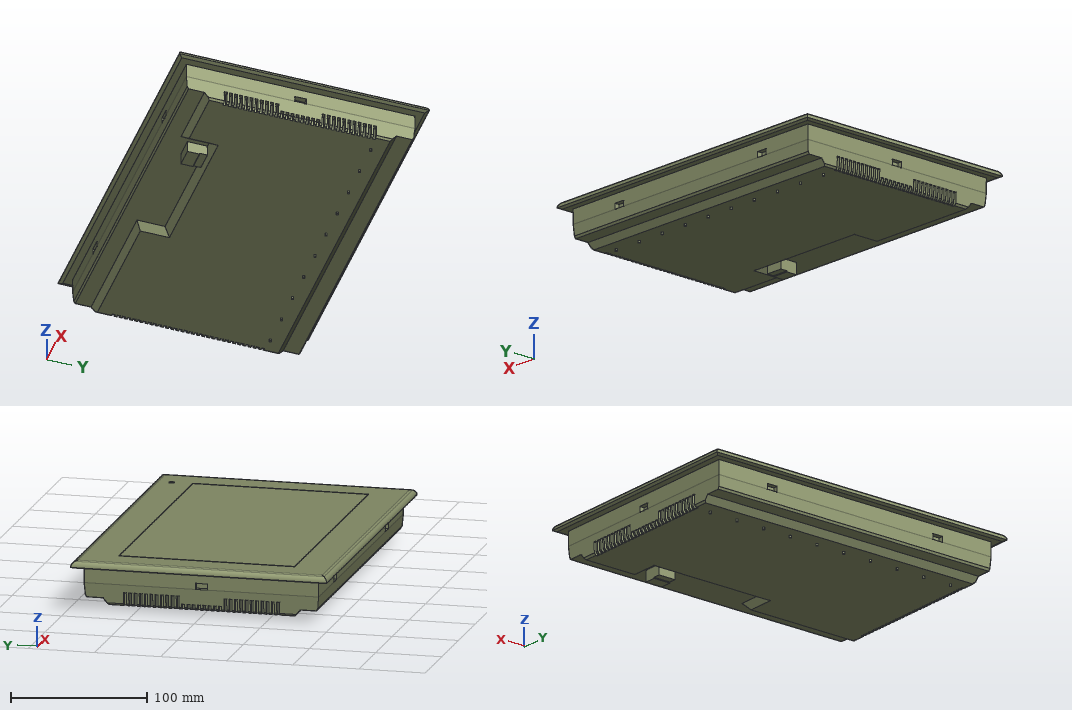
import cadquery as cq


BEZEL_LENGTH = 272.0
BEZEL_WIDTH = 194.0
RIM_DEPTH = 4.5
BEZEL_DEPTH = 5.7
UNDERSIDE_INSET = 2.7
ROUND_INSET = 2.7
ROUND_TOP_DEPTH = 0.5
FACE_INSET = 4.5
ROUND_BULGE = 0.4

WINDOW_LENGTH = 222.0
WINDOW_WIDTH = 132.7
LAMP_X = 110.2
LAMP_Y = 82.1
LAMP_DIAMETER = 3.8
MARK_DEPTH = 0.3

HOUSING_HALF_LENGTH = 127.5
HOUSING_HALF_WIDTH = 88.7
SEAM_DEPTH = 17.7
DRAFT_INSET = 0.8
FLOOR_DEPTH = 33.7
END_CHAMFER_DEPTH = 32.0
END_CHAMFER_INSET = 1.4
SIDE_CHAMFER_DEPTH = 26.7
SIDE_CHAMFER_INSET = 1.0
SHOULDER_DEPTH = 28.5
SHOULDER_HALF_WIDTH = 74.5
FLOOR_HALF_WIDTH = 70.2

NOTCH_LENGTH = 9.0
NOTCH_HEIGHT = 4.5
NOTCH_DEPTH = 4.0
NOTCH_SPACING = 155.0

VENT_COUNT = 30
TALL_VENTS_PER_GROUP = 11
VENT_ROW_SPAN = 116.0
VENT_PITCH = VENT_ROW_SPAN / (VENT_COUNT - 1)
VENT_WIDTH = 2.2
VENT_DEPTH = 3.0
TALL_VENT_TOP = 23.7
SHORT_VENT_TOP = 29.6

RECESS_LEFT = -24.0
RECESS_RIGHT = 74.8
RECESS_BACK_Y = -52.8
RECESS_FLARE = FLOOR_DEPTH - SHOULDER_DEPTH
CONNECTOR_LEFT = 56.3
CONNECTOR_RIGHT = 71.0
CONNECTOR_FRONT_Y = -68.3
CONNECTOR_STEP_Y = -58.8
CONNECTOR_STEP_DEPTH = 37.3
PART_DEPTH = 38.0

FEET_COUNT = 10
FOOT_PITCH = 25.0
FOOT_ROW_Y = 59.5
FOOT_DIAMETER = 1.5
FOOT_HEIGHT = 1.5


def box(x_range, y_range, z_range):
    """Box between the given limits along each axis."""
    lows, highs = zip(x_range, y_range, z_range)
    sizes = [high - low for low, high in zip(lows, highs)]
    return cq.Workplane("XY").box(*sizes, centered=False).translate(lows)


def centred_prism(profile, plane, length):
    return profile(cq.Workplane(plane)).close().extrude(length / 2, both=True)


def bezel_profile(half_size):
    """Bezel cross-section with bowed upper edges and a bevelled underside."""
    round_end = half_size - ROUND_INSET
    middle = half_size - ROUND_INSET / 2 + ROUND_BULGE
    middle_z = -(RIM_DEPTH + ROUND_TOP_DEPTH) / 2 + ROUND_BULGE
    face = half_size - FACE_INSET
    underside = half_size - UNDERSIDE_INSET

    def draw(plane):
        return (
            plane.moveTo(-face, 0)
            .lineTo(face, 0)
            .lineTo(round_end, -ROUND_TOP_DEPTH)
            .threePointArc((middle, middle_z), (half_size, -RIM_DEPTH))
            .lineTo(underside, -BEZEL_DEPTH)
            .lineTo(-underside, -BEZEL_DEPTH)
            .lineTo(-half_size, -RIM_DEPTH)
            .threePointArc((-middle, middle_z), (-round_end, -ROUND_TOP_DEPTH))
        )

    return draw


def mirrored_profile(half_points):
    """Closed outline from (half size, depth) points, mirrored about the Z axis."""
    right = [(half, -depth) for half, depth in half_points]
    left = [(-half, z) for half, z in reversed(right)]
    return lambda plane: plane.polyline(right + left)


def make_bezel():
    along_y = centred_prism(bezel_profile(BEZEL_LENGTH / 2), "XZ", BEZEL_WIDTH)
    along_x = centred_prism(bezel_profile(BEZEL_WIDTH / 2), "YZ", BEZEL_LENGTH)
    window = cq.Workplane("XY").rect(WINDOW_LENGTH, WINDOW_WIDTH).extrude(-MARK_DEPTH)
    lamp = cq.Workplane("XY").center(LAMP_X, LAMP_Y).circle(LAMP_DIAMETER / 2).extrude(-MARK_DEPTH)
    return along_y.intersect(along_x).cut(window).cut(lamp)


def make_housing():
    end_foot = HOUSING_HALF_LENGTH - DRAFT_INSET
    side_foot = HOUSING_HALF_WIDTH - DRAFT_INSET
    length_profile = mirrored_profile([
        (HOUSING_HALF_LENGTH, BEZEL_DEPTH),
        (HOUSING_HALF_LENGTH, SEAM_DEPTH),
        (end_foot, END_CHAMFER_DEPTH),
        (end_foot - END_CHAMFER_INSET, FLOOR_DEPTH),
    ])
    width_profile = mirrored_profile([
        (HOUSING_HALF_WIDTH, BEZEL_DEPTH),
        (HOUSING_HALF_WIDTH, SEAM_DEPTH),
        (side_foot, SIDE_CHAMFER_DEPTH),
        (side_foot - SIDE_CHAMFER_INSET, SHOULDER_DEPTH),
        (SHOULDER_HALF_WIDTH, SHOULDER_DEPTH),
        (FLOOR_HALF_WIDTH, FLOOR_DEPTH),
    ])
    along_y = centred_prism(length_profile, "XZ", 2 * HOUSING_HALF_WIDTH)
    along_x = centred_prism(width_profile, "YZ", 2 * HOUSING_HALF_LENGTH)
    return along_y.intersect(along_x)


def make_notches():
    """Two notches on each long side and one on each end."""
    z_range = (-SEAM_DEPTH, NOTCH_HEIGHT - SEAM_DEPTH)
    half = NOTCH_LENGTH / 2
    inner_x = HOUSING_HALF_LENGTH - NOTCH_DEPTH
    inner_y = HOUSING_HALF_WIDTH - NOTCH_DEPTH
    end_notch = box((-HOUSING_HALF_LENGTH, -inner_x), (-half, half), z_range)
    notches = end_notch.union(end_notch.mirror("YZ"))
    for x in (-NOTCH_SPACING / 2, NOTCH_SPACING / 2):
        side_notch = box((x - half, x + half), (-HOUSING_HALF_WIDTH, -inner_y), z_range)
        notches = notches.union(side_notch).union(side_notch.mirror("XZ"))
    return notches


def make_vents():
    """Rows of slots in both end walls, open at the floor; the middle ones are short."""
    outer_x = HOUSING_HALF_LENGTH
    inner_x = outer_x - DRAFT_INSET - VENT_DEPTH
    vents = cq.Workplane("XY")
    for index in range(VENT_COUNT):
        y = (index - (VENT_COUNT - 1) / 2) * VENT_PITCH
        is_tall = min(index, VENT_COUNT - 1 - index) < TALL_VENTS_PER_GROUP
        top = TALL_VENT_TOP if is_tall else SHORT_VENT_TOP
        y_range = (y - VENT_WIDTH / 2, y + VENT_WIDTH / 2)
        vent = box((-outer_x, -inner_x), y_range, (-FLOOR_DEPTH, -top))
        vents = vents.add(vent).add(vent.mirror("YZ"))
    return vents.combine()


def make_connector_recess():
    """Recess through the -Y slope; its side and back walls flare at 45 degrees."""
    front_y = -SHOULDER_HALF_WIDTH
    ends = (
        cq.Workplane("XZ", origin=(0, RECESS_BACK_Y + RECESS_FLARE, 0))
        .polyline([
            (RECESS_LEFT, -SHOULDER_DEPTH),
            (RECESS_RIGHT, -SHOULDER_DEPTH),
            (RECESS_RIGHT + RECESS_FLARE, -FLOOR_DEPTH),
            (RECESS_LEFT - RECESS_FLARE, -FLOOR_DEPTH),
        ])
        .close()
        .extrude(RECESS_BACK_Y + RECESS_FLARE - front_y)
    )
    back = (
        cq.Workplane("YZ", origin=(RECESS_LEFT - RECESS_FLARE, 0, 0))
        .polyline([
            (front_y, -SHOULDER_DEPTH),
            (RECESS_BACK_Y, -SHOULDER_DEPTH),
            (RECESS_BACK_Y + RECESS_FLARE, -FLOOR_DEPTH),
            (front_y, -FLOOR_DEPTH),
        ])
        .close()
        .extrude(RECESS_RIGHT - RECESS_LEFT + 2 * RECESS_FLARE)
    )
    return ends.intersect(back)


def make_connector():
    x_range = (CONNECTOR_LEFT, CONNECTOR_RIGHT)
    front = box(x_range, (CONNECTOR_FRONT_Y, CONNECTOR_STEP_Y), (-PART_DEPTH, -SHOULDER_DEPTH))
    back = box(x_range, (CONNECTOR_STEP_Y, RECESS_BACK_Y), (-CONNECTOR_STEP_DEPTH, -SHOULDER_DEPTH))
    return front.union(back)


def make_feet():
    """Row of small round feet along the +Y part of the floor."""
    row_start = -(FEET_COUNT - 1) / 2 * FOOT_PITCH
    places = [(row_start + index * FOOT_PITCH, FOOT_ROW_Y) for index in range(FEET_COUNT)]
    return (
        cq.Workplane("XY", origin=(0, 0, -FLOOR_DEPTH))
        .pushPoints(places)
        .circle(FOOT_DIAMETER / 2)
        .extrude(-FOOT_HEIGHT)
    )


housing = make_housing().cut(make_notches()).cut(make_vents()).cut(make_connector_recess())
result = make_bezel().union(housing).union(make_connector()).union(make_feet())